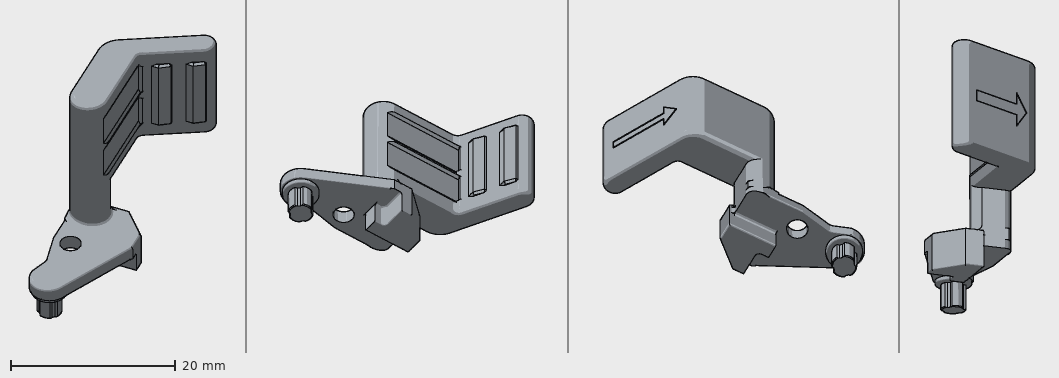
import cadquery as cq
import math


total_height = 25.2
collar_bottom = 3.18
plate_bottom = 3.77
plate_top = 5.65
blade_height = 14.0
blade_bottom = total_height - blade_height
blade_mid_z = total_height - blade_height / 2
block_bottom = 0.77

column_radius = 2.5
column_y = 12.5
column_back_y = 14.27
hole_radius = 1.3
hole_y = 6.5
plate_right = 7.23
plate_right_front = 8.9
plate_right_back = 11.52
plate_back_y = 14.95
plate_back_right = 4.17
straight_side_front_y = 6.98
neck_back = (-1.75, 3.37)
neck_middle = (-1.67, 2.8)
neck_front = (-1.8, 2.25)
nose_start = (-2.47, 0.37)
nose_tangent_angle = math.atan2(1, 2)
plate_top_round = 0.5
plate_bottom_round = 0.15
column_corner_round = 1.0

foot_radius = 0.75
foot_slope_run = 1.33

blade_angle = math.radians(28)
blade_thickness = 3.0
tip_radius = blade_thickness / 2
blade_right_x = 10.45
blade_back_y = 28.38
tip_x = blade_right_x - tip_radius
tip_y = blade_back_y - tip_radius
outer_bend_radius = 3.0
inner_bend_radius = 1.0
blade_edge_round = 0.75

pin_radius = 1.55
pin_chamfer = 0.12
collar_radius = 2.25
collar_round = 0.25
groove_count = 4
groove_floor = 1.3
groove_floor_half = 0.2
groove_mouth_half = 0.65

block_left = 1.75
block_leg_width = 1.98
block_front = 8.5
block_recess_front = 10.0
block_corner_round = 0.6
block_top_round = 0.43
block_cove_radius = 0.37
block_edge_round = 0.22
pocket_overcut = 1.25

rib_left_x = (3.85, 7.6)
rib_width = 2.2
rib_flat = 0.93
rib_length = 9.88
rib_step = 0.3
rib_root = 0.62
rib_end_chamfer = 0.28
recess_depth = 0.25
recess_length = 4.95
recess_offset = 2.6
recess_taper = 0.45
recess_front_y = 11.12
recess_back_y = 22.17
recess_end_x = 2.9
arrow_depth = 0.1
arrow_start = 0.68
arrow_shaft = 7.38
arrow_head = 1.85
arrow_shaft_half = 0.68
arrow_head_half = 2.13

along = (math.cos(blade_angle), math.sin(blade_angle))
outward = (-math.sin(blade_angle), math.cos(blade_angle))


def blade_point(distance, offset):
    """Point at a distance back from the tip centre and an offset from the blade's mid plane."""
    x = tip_x - distance * along[0] + offset * outward[0]
    y = tip_y - distance * along[1] + offset * outward[1]
    return (x, y)


def face_y(x, offset):
    """Y on the blade face lying at the given offset, at a given x."""
    base_x, base_y = blade_point(0, offset)
    return base_y + (x - base_x) * math.tan(blade_angle)


def vertical_box(x0, x1, y0, y1, z0, z1):
    return cq.Workplane("XY").box(x1 - x0, y1 - y0, z1 - z0, centered=False).translate((x0, y0, z0))


def make_blade():
    """Bent upright blade: a straight wall with a round front, then an angled wall with a round tip."""
    blade = (
        cq.Workplane("XY")
        .workplane(offset=blade_bottom)
        .moveTo(-column_radius, column_y)
        .threePointArc((0, column_y - column_radius), (column_radius, column_y))
        .lineTo(column_radius, face_y(column_radius, -tip_radius))
        .lineTo(*blade_point(0, -tip_radius))
        .threePointArc(blade_point(-tip_radius, 0), blade_point(0, tip_radius))
        .lineTo(-column_radius, face_y(-column_radius, tip_radius))
        .close()
        .extrude(blade_height)
    )
    outer_corner = cq.selectors.NearestToPointSelector(
        (-column_radius, face_y(-column_radius, tip_radius), blade_mid_z))
    inner_corner = cq.selectors.NearestToPointSelector(
        (column_radius, face_y(column_radius, -tip_radius), blade_mid_z))
    blade = blade.edges(outer_corner).fillet(outer_bend_radius)
    blade = blade.edges(inner_corner).fillet(inner_bend_radius)
    return blade.faces("<Z or >Z").edges().fillet(blade_edge_round)


def make_column():
    """Round column below the blade, cut flat at the back."""
    height = blade_bottom + blade_edge_round - plate_bottom
    column = cq.Workplane("XY").circle(column_radius).extrude(height).translate((0, column_y, plate_bottom))
    behind = vertical_box(-column_radius, column_radius, column_back_y, plate_back_y + column_radius,
                          0, blade_bottom + blade_edge_round)
    column = column.cut(behind)
    return column.edges("|Z and >Y and <X").fillet(column_corner_round)


def plate_outline():
    """Closed outline of the lever plate, from its straight left side round the nose to the column."""
    back_half = math.sqrt(column_radius**2 - (column_back_y - column_y) ** 2)
    arc_middle = math.pi - math.asin((column_back_y - column_y) / column_radius) / 2
    column_arc_middle = (column_radius * math.cos(arc_middle), column_y + column_radius * math.sin(arc_middle))
    nose_end = (column_radius * math.cos(nose_tangent_angle), -column_radius * math.sin(nose_tangent_angle))
    return (
        cq.Workplane("XY")
        .moveTo(-column_radius, straight_side_front_y)
        .lineTo(*neck_back)
        .threePointArc(neck_middle, neck_front)
        .lineTo(*nose_start)
        .threePointArc((0, -column_radius), nose_end)
        .lineTo(plate_right, plate_right_front)
        .lineTo(plate_right, plate_right_back)
        .lineTo(plate_back_right, plate_back_y)
        .lineTo(block_left, plate_back_y)
        .lineTo(block_left, column_back_y)
        .lineTo(-back_half, column_back_y)
        .threePointArc(column_arc_middle, (-column_radius, column_y))
        .close()
    )


def make_plate():
    """Lever plate with rounded rims."""
    plate = plate_outline().extrude(plate_top - plate_bottom).translate((0, 0, plate_bottom))
    back_left_corner = cq.selectors.NearestToPointSelector((-column_radius, plate_back_y, plate_bottom))
    plate = plate.edges("|Z").edges(back_left_corner).fillet(column_corner_round)
    under_column = cq.selectors.BoxSelector(
        (-2 * column_radius, column_y, 0), (column_radius, 2 * plate_back_y, total_height))
    top_rim = cq.selectors.StringSyntaxSelector("#Z") - under_column
    plate = plate.faces(">Z").edges(top_rim).fillet(plate_top_round)
    return plate.faces("<Z").edges().fillet(plate_bottom_round)


def make_foot():
    """Concave fillet between the column and the plate, kept inside the plate outline."""
    ring = (
        cq.Workplane("XZ")
        .moveTo(0, -foot_radius)
        .lineTo(column_radius + foot_radius, -foot_radius)
        .lineTo(column_radius + foot_radius, 0)
        .radiusArc((column_radius, foot_radius), foot_radius)
        .lineTo(0, foot_radius)
        .close()
        .revolve(360, (0, 0, 0), (0, 1, 0))
        .translate((0, column_y, plate_top))
    )
    limit = plate_outline().extrude(blade_bottom)
    limit = limit.cut(vertical_box(-column_radius, plate_right, column_back_y, plate_back_y, 0, blade_bottom))
    wedge = (
        cq.Workplane("YZ")
        .polyline([
            (column_y, plate_top - plate_top_round),
            (column_y - foot_slope_run, plate_top + foot_radius),
            (column_y, plate_top + foot_radius),
        ])
        .close()
        .extrude(-column_radius - foot_radius)
    )
    return ring.intersect(limit).cut(wedge)


def make_block():
    """L-shaped stop block under the back of the plate."""
    block = plate_outline().extrude(plate_bottom + plate_bottom_round - block_bottom)
    block = block.translate((0, 0, block_bottom))
    block = block.intersect(
        vertical_box(block_left, plate_right, block_front, plate_back_y, 0, plate_top))
    pocket = vertical_box(block_left + block_leg_width, plate_right + pocket_overcut,
                          block_front - pocket_overcut, block_recess_front,
                          block_bottom - pocket_overcut, plate_bottom)
    pocket = pocket.edges("|Z and <X and >Y").fillet(block_corner_round)
    pocket = pocket.faces(">Z").edges(">Y").fillet(block_top_round)
    return block.cut(pocket).faces("<Z").edges("not <Y").fillet(block_edge_round)


def make_coves():
    """Concave fillets from the block's left face to the plate's underside and to the column's flat back."""
    reach = block_cove_radius
    under_plate = (
        cq.Workplane("XZ")
        .moveTo(block_left, plate_bottom + plate_bottom_round)
        .lineTo(block_left, plate_bottom - reach)
        .radiusArc((block_left - reach, plate_bottom), -reach)
        .lineTo(block_left - reach, plate_bottom + plate_bottom_round)
        .close()
        .extrude(block_front - column_back_y)
        .translate((0, block_front, 0))
    )
    behind_column = (
        cq.Workplane("XY")
        .moveTo(block_left, column_back_y)
        .lineTo(block_left, column_back_y + reach)
        .radiusArc((block_left - reach, column_back_y), reach)
        .close()
        .extrude(plate_top - plate_top_round - plate_bottom)
        .translate((0, 0, plate_bottom))
    )
    return under_plate.union(behind_column)


def make_pin():
    """Splined pin and its collar under the plate's nose."""
    pin = cq.Workplane("XY").circle(pin_radius).extrude(plate_bottom).faces("<Z").chamfer(pin_chamfer)
    groove = (
        cq.Workplane("XY")
        .polyline([
            (groove_floor, -groove_floor_half),
            (pin_radius, -groove_mouth_half),
            (pin_radius, groove_mouth_half),
            (groove_floor, groove_floor_half),
        ])
        .close()
        .extrude(collar_bottom)
    )
    for index in range(groove_count):
        turn = (index + 0.5) * 360 / groove_count
        pin = pin.cut(groove.rotate((0, 0, 0), (0, 0, 1), turn))
    collar = cq.Workplane("XY").circle(collar_radius).extrude(plate_top - collar_bottom - plate_top_round)
    collar = collar.faces("<Z").edges().fillet(collar_round).translate((0, 0, collar_bottom))
    return pin.union(collar)


def make_rib(left_x):
    """Raised grip rib on the inner face of the angled wall."""
    right_x = left_x + rib_width
    front_y = face_y(left_x, -tip_radius)
    end_y = face_y(right_x, -tip_radius)
    rib = (
        cq.Workplane("XY")
        .polyline([
            (left_x, front_y),
            (left_x + rib_flat, front_y),
            (right_x, end_y - rib_step),
            (right_x, end_y + rib_root),
            (left_x, end_y + rib_root),
        ])
        .close()
        .extrude(rib_length)
        .translate((0, 0, blade_mid_z - rib_length / 2))
    )
    return rib.faces("<Z or >Z").edges().chamfer(rib_end_chamfer)


def make_recess(side):
    """Shallow pointed recess in the right side of the straight wall; side is -1 below, +1 above."""
    mid_z = blade_mid_z + side * recess_offset
    half = recess_length / 2
    floor_x = column_radius - recess_depth
    return (
        cq.Workplane("XZ")
        .polyline([
            (floor_x, mid_z - half + recess_taper),
            (column_radius, mid_z - half),
            (recess_end_x, mid_z - half + recess_taper),
            (recess_end_x, mid_z + half - recess_taper),
            (column_radius, mid_z + half),
            (floor_x, mid_z + half - recess_taper),
        ])
        .close()
        .extrude(recess_front_y - recess_back_y)
        .translate((0, recess_front_y, 0))
    )


def make_arrow():
    """Shallow arrow cut into the outer face of the angled wall, pointing to the bend."""
    neck = arrow_start + arrow_shaft
    face = cq.Plane(
        origin=(*blade_point(0, tip_radius), blade_mid_z),
        xDir=(-along[0], -along[1], 0),
        normal=(*outward, 0),
    )
    return (
        cq.Workplane(face)
        .polyline([
            (arrow_start, -arrow_shaft_half),
            (neck, -arrow_shaft_half),
            (neck, -arrow_head_half),
            (neck + arrow_head, 0),
            (neck, arrow_head_half),
            (neck, arrow_shaft_half),
            (arrow_start, arrow_shaft_half),
        ])
        .close()
        .extrude(-arrow_depth)
    )


result = make_blade().union(make_column())
for rib_x in rib_left_x:
    result = result.union(make_rib(rib_x))
for recess_side in (-1, 1):
    result = result.cut(make_recess(recess_side))
result = result.cut(make_arrow())
for lower_part in (make_plate(), make_foot(), make_block(), make_coves(), make_pin()):
    result = result.union(lower_part)
hole = cq.Workplane("XY").center(0, hole_y).circle(hole_radius).extrude(blade_bottom)
result = result.cut(hole)